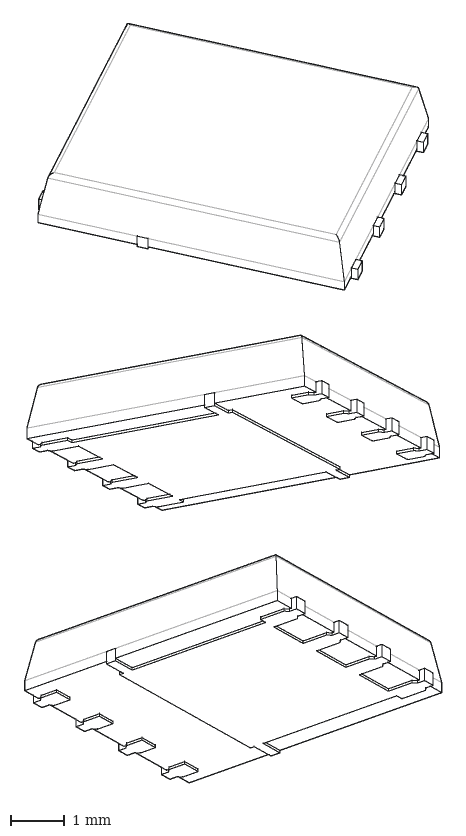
import cadquery as cq
import math

SPAN_X = 6.26
HEIGHT = 1.15
SEAT_X = SPAN_X / 2

MOLD_X = 6.01
MOLD_Y = 4.9
STANDOFF = 0.05
DRAFT_ANGLE = 10.0
TOP_FILLET = 0.1

METAL_THICKNESS = 0.255
LEAD_COUNT = 4
LEAD_PITCH = 1.27
LEAD_WIDTH = 0.255
FOOT_WIDTH = 0.4
FOOT_START = 2.885
LEAD_INNER_END = 2.515

PAD_X_MIN = -1.145
PAD_X_MAX = 2.33
PAD_EDGE_INSET = 0.5
PAD_Y = MOLD_Y - 2 * PAD_EDGE_INSET
TIE_BAR_X = -0.95
TIE_BAR_WIDTH = 0.21

LEAD_ROWS = [(i - (LEAD_COUNT - 1) / 2) * LEAD_PITCH for i in range(LEAD_COUNT)]


def make_lead(inner_end, row_y):
    """Lead pointing to +X: a narrow tip widening through 45 degree shoulders into a foot."""
    tip_half = LEAD_WIDTH / 2
    foot_half = FOOT_WIDTH / 2
    shoulder_start = FOOT_START + (foot_half - tip_half)
    return (
        cq.Workplane("XY")
        .moveTo(SEAT_X, -tip_half)
        .lineTo(SEAT_X, tip_half)
        .lineTo(shoulder_start, tip_half)
        .lineTo(FOOT_START, foot_half)
        .lineTo(inner_end, foot_half)
        .lineTo(inner_end, -foot_half)
        .lineTo(FOOT_START, -foot_half)
        .lineTo(shoulder_start, -tip_half)
        .close()
        .extrude(METAL_THICKNESS)
        .translate((0, row_y, 0))
    )


def make_separate_lead(row_y):
    """Lead on the -X side, isolated from the die pad."""
    return make_lead(LEAD_INNER_END, row_y).mirror("YZ")


def make_die_pad():
    """Die pad in one piece with its tie bar and the +X leads."""
    pad = (
        cq.Workplane("XY")
        .center((PAD_X_MIN + PAD_X_MAX) / 2, 0)
        .rect(PAD_X_MAX - PAD_X_MIN, PAD_Y)
        .extrude(METAL_THICKNESS)
    )
    tie_bar = (
        cq.Workplane("XY")
        .center(TIE_BAR_X, 0)
        .rect(TIE_BAR_WIDTH, MOLD_Y)
        .extrude(METAL_THICKNESS)
    )
    pad = pad.union(tie_bar)
    for row_y in LEAD_ROWS:
        pad = pad.union(make_lead(PAD_X_MAX, row_y))
    return pad


def make_housing(metal_parts):
    """Straight-sided base under a drafted block with rounded top edges, recessed for the metal."""
    base = (
        cq.Workplane("XY", origin=(0, 0, STANDOFF))
        .rect(MOLD_X, MOLD_Y)
        .extrude(METAL_THICKNESS - STANDOFF)
    )
    upper_height = HEIGHT - METAL_THICKNESS
    draft_inset = upper_height * math.tan(math.radians(DRAFT_ANGLE))
    upper = (
        cq.Workplane("XY", origin=(0, 0, METAL_THICKNESS))
        .rect(MOLD_X, MOLD_Y)
        .workplane(offset=upper_height)
        .rect(MOLD_X - 2 * draft_inset, MOLD_Y - 2 * draft_inset)
        .loft(ruled=True)
        .faces(">Z")
        .edges()
        .fillet(TOP_FILLET)
    )
    mold = base.union(upper)
    for metal in metal_parts:
        mold = mold.cut(metal)
    return mold


leads = [make_separate_lead(row_y) for row_y in LEAD_ROWS]
die_pad = make_die_pad()
housing = make_housing([*leads, die_pad])

result = cq.Compound.makeCompound([
    housing.solids().val(),
    die_pad.solids().val(),
    *[lead.val() for lead in leads],
])